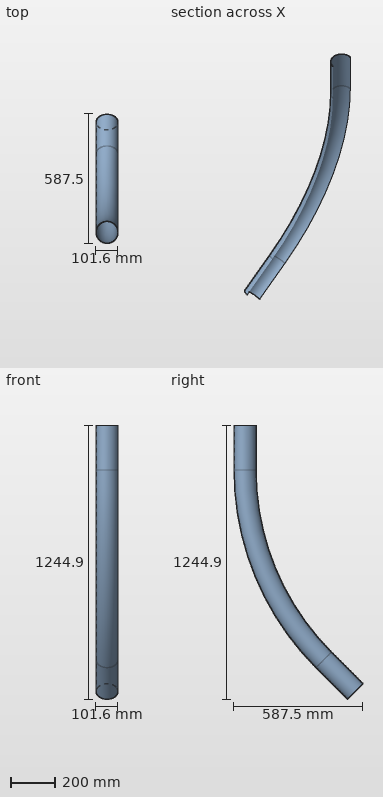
import cadquery as cq
import math

OUTER_DIAMETER = 101.6
INNER_DIAMETER = 97.38

LEG_LENGTH = 203.2
BEND_RADIUS = 1219.2
BEND_ANGLE = 45.0

bend = math.radians(BEND_ANGLE)


def bend_point(angle):
    """Point (y, z) on the bend; the bend starts at the origin heading down and curves toward +Y."""
    return (BEND_RADIUS * (1 - math.cos(angle)), -BEND_RADIUS * math.sin(angle))


def tube_centreline():
    """Path in the YZ plane from the top of the vertical leg to the end of the slanted leg."""
    bend_end = bend_point(bend)
    slanted_end = (
        bend_end[0] + LEG_LENGTH * math.sin(bend),
        bend_end[1] - LEG_LENGTH * math.cos(bend),
    )
    return (
        cq.Workplane("YZ")
        .moveTo(0, LEG_LENGTH)
        .lineTo(0, 0)
        .threePointArc(bend_point(bend / 2), bend_end)
        .lineTo(*slanted_end)
    )


def bent_tube():
    """Ring section swept along the centreline, open at both ends."""
    return (
        cq.Workplane("XY", origin=(0, 0, LEG_LENGTH))
        .circle(OUTER_DIAMETER / 2)
        .circle(INNER_DIAMETER / 2)
        .sweep(tube_centreline())
    )


result = bent_tube()